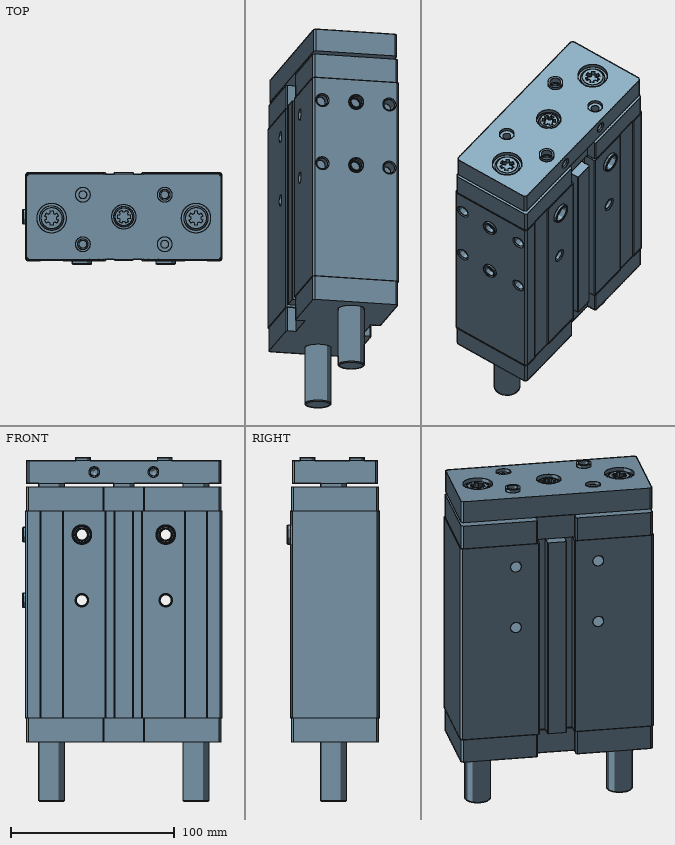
import cadquery as cq
import math

end_cap_height = 15.0
body_height = 126.0
plate_gap = 2.0
plate_height = 13.8
guide_rod_overhang = 36.0
body_top = end_cap_height + body_height
housing_top = body_top + end_cap_height
plate_bottom = housing_top + plate_gap
plate_top = plate_bottom + plate_height

body_width = 120.0
body_depth = 54.1
end_cap_width = 119.0
end_cap_depth = 53.3
edge_chamfer = 1.3

groove_half_width = 11.0
groove_depth = 8.0
cap_notch_depth = 6.0
rib_half_width = 5.9
front_rib_setback = 0.5
rib_chamfer = 0.5
cap_notch_half_width = 12.0
slot_flare = 0.6
strip_x = 44.0
strip_half_width = 6.5
strip_depth = slot_flare

hole_drop = 14.3
hole_pitch = 40.0
hole_heights = [body_top - hole_drop - hole_pitch, body_top - hole_drop]
front_hole_x = 25.5
side_hole_y = 21.0
large_hole_diameter = 6.7
large_countersink_diameter = 8.2
side_hole_depth = 10.5
drill_point_angle = 118
air_passage_diameter = 8.5
air_passage_x = -50.4
side_center_hole_depth = 4.2

plate_width = 118.5
plate_depth = 52.0
guide_rod_diameter = 16.0
guide_rod_x = 44.0
guide_rod_y = -0.8
guide_rod_chamfer = 0.6
piston_rod_diameter = 12.5
guide_screw_pocket_diameter = 18.0
guide_screw_head_diameter = 15.0
guide_screw_head_chamfer = 1.0
guide_screw_socket_diameter = 8.5
guide_screw_first_lobe_angle = 90
piston_screw_pocket_diameter = 15.0
piston_screw_head_diameter = 12.4
piston_screw_head_chamfer = 0.8
piston_screw_socket_diameter = 8.0
piston_screw_first_lobe_angle = 0
screw_recess_depth = 1.3
screw_pocket_depth = 2.5
screw_socket_depth = 3.1
socket_core_ratio = 0.82
socket_lobe_ratio = 0.24

plate_hole_x = 18.0
plate_hole_diameter = 4.8
plate_countersink_diameter = 6.5
plate_front_hole_depth = 10.5
plate_top_hole_depth = 8.4
plate_seat_x = 25.0
plate_seat_y = -1.7
plate_seat_half_pitch = 15.1

small_sleeve_diameter = 9.0
small_sleeve_bore = 6.5
small_sleeve_protrusion = 1.9
large_sleeve_diameter = 12.0
large_sleeve_bore = 9.9
large_sleeve_protrusion = 2.0
sleeve_seat_depth = 2.0
sleeve_rim_width = 0.52

TO_FRONT = cq.Vector(0, -1, 0)
TO_LEFT = cq.Vector(-1, 0, 0)
TO_TOP = cq.Vector(0, 0, 1)

front_y = -body_depth / 2
left_x = -body_width / 2
front_points = [(x, front_y, z) for x in (-front_hole_x, front_hole_x) for z in hole_heights]
front_sleeve_points = [(x, front_y, hole_heights[1]) for x in (-front_hole_x, front_hole_x)]
left_sleeve_points = [(left_x, 0, z) for z in hole_heights]
plate_seat_points = [
    (x, plate_seat_y + dy, plate_top)
    for x in (-plate_seat_x, plate_seat_x)
    for dy in (-plate_seat_half_pitch, plate_seat_half_pitch)
]
plate_sleeve_points = [plate_seat_points[0], plate_seat_points[3]]
guide_rod_points = [(x, guide_rod_y) for x in (-guide_rod_x, guide_rod_x)]


def block(x_min, x_max, y_min, y_max, z_min, z_max):
    """Box between two opposite corners."""
    size = (x_max - x_min, y_max - y_min, z_max - z_min)
    return cq.Workplane("XY").box(*size, centered=False).translate((x_min, y_min, z_min))


def upright_block(width, depth, z_min, z_max):
    """Box centred on the Z axis with chamfered upright edges."""
    box = block(-width / 2, width / 2, -depth / 2, depth / 2, z_min, z_max)
    return box.edges("|Z").chamfer(edge_chamfer)


def rod(diameter, x, y, z_min, z_max):
    """Upright cylinder."""
    return cq.Workplane("XY", origin=(x, y, z_min)).circle(diameter / 2).extrude(z_max - z_min)


def bore(point, outward, diameter, depth):
    """Flat-bottomed round cutter going into a face."""
    return cq.Workplane(cq.Solid.makeCylinder(diameter / 2, depth, cq.Vector(*point), outward * -1))


def countersink(point, outward, mouth_diameter, diameter):
    """45-degree conical cutter at the mouth of a hole."""
    depth = (mouth_diameter - diameter) / 2
    cone = cq.Solid.makeCone(mouth_diameter / 2, diameter / 2, depth, cq.Vector(*point), outward * -1)
    return cq.Workplane(cone)


def drilled_hole(point, outward, diameter, depth):
    """Round cutter ending in a conical drill point."""
    point_length = diameter / 2 / math.tan(math.radians(drill_point_angle / 2))
    tip_base = cq.Vector(*point) - outward * depth
    tip = cq.Solid.makeCone(diameter / 2, 0, point_length, tip_base, outward * -1)
    return bore(point, outward, diameter, depth).union(cq.Workplane(tip))


def slot(center_x, half_width, depth, side, wall_y, z_range):
    """Upright slot cutter in the front (side = -1) or rear (side = 1) wall, flared at its mouth."""
    flare_y = wall_y - slot_flare
    floor_y = wall_y - depth
    mouth = half_width + slot_flare
    outline = [(-half_width, flare_y), (-mouth, wall_y)]
    if depth > slot_flare:
        outline.insert(0, (-half_width, floor_y))
    outline += [(-x, y) for x, y in reversed(outline)]
    points = [(center_x + x, side * y) for x, y in outline]
    z_min, z_max = z_range
    return cq.Workplane("XY", origin=(0, 0, z_min)).polyline(points).close().extrude(z_max - z_min)


def sleeve(point, outward, diameter, bore_diameter, protrusion, pointed_rim):
    """Centring sleeve seated in a face; its outer rim is either square or bevelled to an edge."""
    length = sleeve_seat_depth + protrusion
    outer = diameter / 2
    inner = bore_diameter / 2
    crest = outer - sleeve_rim_width
    if pointed_rim:
        rim = [(outer, length - sleeve_rim_width), (crest, length), (inner, length - crest + inner)]
    else:
        rim = [(outer, length), (inner, length)]
    seat = cq.Vector(*point) - outward * sleeve_seat_depth
    sideways = cq.Vector(outward.z, outward.x, outward.y)
    plane = cq.Plane(seat, xDir=sideways, normal=sideways.cross(outward))
    profile = cq.Workplane(plane).polyline([(inner, 0), (outer, 0), *rim]).close()
    return profile.revolve(360, (0, 0), (0, 1)).val()


def cut_guide_bores(part, z_range):
    """Cut the two guide rod bores through an upright part."""
    for x, y in guide_rod_points:
        part = part.cut(rod(guide_rod_diameter, x, y, *z_range))
    return part


def body_outline():
    """Profiled block with a ribbed groove at front and rear and shallow strips at the front."""
    body_range = (end_cap_height, body_top)
    body = upright_block(body_width, body_depth, *body_range)
    wall_y = body_depth / 2
    for side in (-1, 1):
        body = body.cut(slot(0, groove_half_width, groove_depth, side, wall_y, body_range))
        rib_y = wall_y - front_rib_setback if side < 0 else wall_y
        rib_span = sorted((side * rib_y, side * (wall_y - groove_depth)))
        rib = block(-rib_half_width, rib_half_width, *rib_span, *body_range)
        outer_edges = "|Z and <Y" if side < 0 else "|Z and >Y"
        body = body.union(rib.edges(outer_edges).chamfer(rib_chamfer))
    for x in (-strip_x, strip_x):
        body = body.cut(slot(x, strip_half_width, strip_depth, -1, wall_y, body_range))
    return body


def make_housing():
    housing = cut_guide_bores(body_outline(), (end_cap_height, body_top))

    for point in front_points:
        housing = housing.cut(bore(point, TO_FRONT, large_hole_diameter, body_depth))
        seat_depth = sleeve_seat_depth if point in front_sleeve_points else 0
        mouth = (point[0], point[1] + seat_depth, point[2])
        housing = housing.cut(
            countersink(mouth, TO_FRONT, large_countersink_diameter, large_hole_diameter)
        )
    for point in front_sleeve_points:
        housing = housing.cut(bore(point, TO_FRONT, large_sleeve_diameter, sleeve_seat_depth))

    for z in hole_heights:
        front_point = (left_x, -side_hole_y, z)
        rear_point = (left_x, side_hole_y, z)
        housing = housing.cut(drilled_hole(front_point, TO_LEFT, large_hole_diameter, side_hole_depth))
        housing = housing.cut(bore(rear_point, TO_LEFT, large_hole_diameter, air_passage_x - left_x))
        for point in (front_point, rear_point):
            housing = housing.cut(
                countersink(point, TO_LEFT, large_countersink_diameter, large_hole_diameter)
            )
    housing = housing.cut(
        rod(air_passage_diameter, air_passage_x, side_hole_y, end_cap_height, body_top)
    )

    for point in left_sleeve_points:
        housing = housing.cut(bore(point, TO_LEFT, small_sleeve_diameter, sleeve_seat_depth))
        housing = housing.cut(bore(point, TO_LEFT, small_sleeve_bore, side_center_hole_depth))
    return housing


def make_end_cap(z_min):
    """Notched cap, slightly smaller than the housing outline, with the guide rod bores."""
    z_range = (z_min, z_min + end_cap_height)
    cap = upright_block(end_cap_width, end_cap_depth, *z_range)
    for side in (-1, 1):
        cap = cap.cut(slot(0, cap_notch_half_width, cap_notch_depth, side, end_cap_depth / 2, z_range))
    return cut_guide_bores(cap, z_range)


def fit_screw(plate, place, pocket_diameter, head_diameter, head_chamfer, socket_diameter, first_lobe):
    """Sink a six-lobe screw head into a round pocket of the plate."""
    x, y = place
    head_top = plate_top - screw_recess_depth
    plate = plate.cut(bore((x, y, plate_top), TO_TOP, pocket_diameter, screw_pocket_depth))
    head = rod(head_diameter, x, y, plate_top - screw_pocket_depth, head_top)
    plate = plate.union(head.faces(">Z").chamfer(head_chamfer))
    core = (
        cq.Workplane("XY", origin=(x, y, head_top))
        .transformed(rotate=(0, 0, first_lobe))
        .polygon(6, socket_diameter * socket_core_ratio)
        .extrude(-screw_socket_depth)
    )
    plate = plate.cut(core)
    for lobe in range(3):
        bar = (
            cq.Workplane("XY", origin=(x, y, head_top))
            .transformed(rotate=(0, 0, first_lobe + 60 * lobe))
            .rect(socket_diameter, socket_diameter * socket_lobe_ratio)
            .extrude(-screw_socket_depth)
        )
        plate = plate.cut(bar)
    return plate


def make_yoke():
    yoke = upright_block(plate_width, plate_depth, plate_bottom, plate_top)

    for x, y in guide_rod_points:
        yoke = fit_screw(
            yoke,
            (x, y),
            guide_screw_pocket_diameter,
            guide_screw_head_diameter,
            guide_screw_head_chamfer,
            guide_screw_socket_diameter,
            guide_screw_first_lobe_angle,
        )
    yoke = fit_screw(
        yoke,
        (0, 0),
        piston_screw_pocket_diameter,
        piston_screw_head_diameter,
        piston_screw_head_chamfer,
        piston_screw_socket_diameter,
        piston_screw_first_lobe_angle,
    )

    for x in (-plate_hole_x, plate_hole_x):
        point = (x, -plate_depth / 2, plate_bottom + plate_height / 2)
        yoke = yoke.cut(drilled_hole(point, TO_FRONT, plate_hole_diameter, plate_front_hole_depth))
        yoke = yoke.cut(countersink(point, TO_FRONT, plate_countersink_diameter, plate_hole_diameter))

    for point in plate_seat_points:
        yoke = yoke.cut(bore(point, TO_TOP, plate_hole_diameter, plate_top_hole_depth))
        yoke = yoke.cut(bore(point, TO_TOP, small_sleeve_diameter, sleeve_seat_depth))

    for x, y in guide_rod_points:
        guide = rod(guide_rod_diameter, x, y, -guide_rod_overhang, plate_bottom)
        yoke = yoke.union(guide.faces("<Z").chamfer(guide_rod_chamfer))
    return yoke.union(rod(piston_rod_diameter, 0, 0, body_top, plate_bottom))


housing = make_housing()
lower_cap = make_end_cap(0)
upper_cap = make_end_cap(body_top).cut(rod(piston_rod_diameter, 0, 0, body_top, housing_top))
yoke = make_yoke()
front_sleeves = [
    sleeve(p, TO_FRONT, large_sleeve_diameter, large_sleeve_bore, large_sleeve_protrusion, True)
    for p in front_sleeve_points
]
left_sleeves = [
    sleeve(p, TO_LEFT, small_sleeve_diameter, small_sleeve_bore, small_sleeve_protrusion, True)
    for p in left_sleeve_points
]
plate_sleeves = [
    sleeve(p, TO_TOP, small_sleeve_diameter, small_sleeve_bore, small_sleeve_protrusion, False)
    for p in plate_sleeve_points
]

result = cq.Compound.makeCompound(
    [
        housing.val(),
        lower_cap.val(),
        upper_cap.val(),
        yoke.val(),
        *front_sleeves,
        *left_sleeves,
        *plate_sleeves,
    ]
)